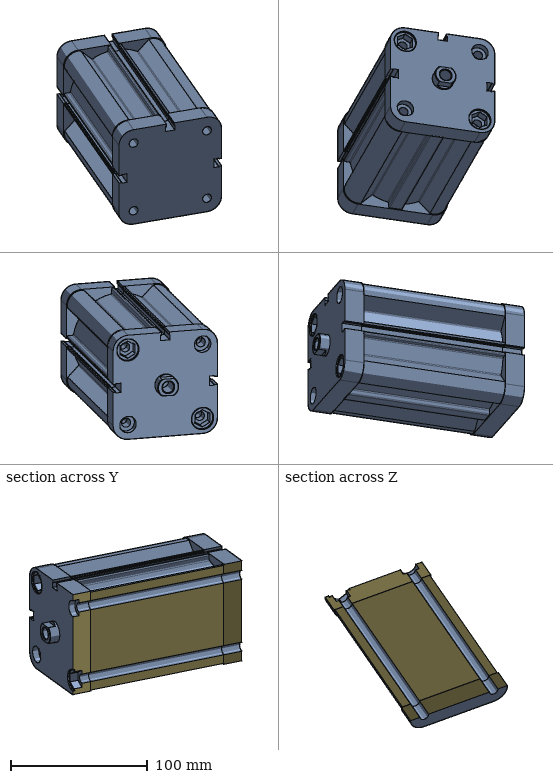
import cadquery as cq
import math


TOTAL_LENGTH = 148
CAP_WIDTH = 79.5
CAP_LENGTH = 15.0
ROD_REACH = 8.0
HOUSING_LENGTH = TOTAL_LENGTH - ROD_REACH
BARREL_LENGTH = HOUSING_LENGTH - 2 * CAP_LENGTH
BARREL_START = CAP_LENGTH
REAR_CAP_START = BARREL_START + BARREL_LENGTH

HOLE_OFFSET = 28.4
HOLE_DIAMETER = 6.8
COUNTERBORE_DIAMETER = 12.5
COUNTERBORE_DEPTH = 5.0
HEX_DIAMETER = 13.2
HEX_DEPTH = 7.4
RECESS_DIAMETER = 16.7
RECESS_DEPTH = 0.9
GROOVE_WIDTH = 0.3
GROOVE_DEPTH = 1.5
BOLT_CORNERS = [(HOLE_OFFSET, HOLE_OFFSET), (-HOLE_OFFSET, -HOLE_OFFSET)]
COUNTERBORE_CORNERS = [(HOLE_OFFSET, -HOLE_OFFSET), (-HOLE_OFFSET, HOLE_OFFSET)]

BARREL_STEP = 0.7
BARREL_WIDTH = CAP_WIDTH - 2 * BARREL_STEP
TUBE_RADIUS = 35.0
LUG_RADIUS = BARREL_WIDTH / 2 - HOLE_OFFSET
WEB_WIDTH = 17.6
RAIL_WIDTH = 10.7
BARREL_FILLET = 0.9

SLOT_DEPTH = 6.0
LIP_DEPTH = 2.2
SLOT_FLOOR = CAP_WIDTH / 2 - SLOT_DEPTH
LIP_UNDERSIDE = CAP_WIDTH / 2 - LIP_DEPTH
SLOT_WIDTH = 7.1
CAP_OPENING = 6.0
BARREL_OPENING = 5.2
LIP_CHAMFER = 0.6

ROD_DIAMETER = 16.0
ROD_CHAMFER = 0.5
ROD_LENGTH = ROD_REACH + CAP_LENGTH
FLAT_WIDTH = 12.7
FLAT_LENGTH = 5.9
FLAT_RUNOUT = 0.6
BORE_DIAMETER = 8.6
BORE_DEPTH = 14.8
BORE_CHAMFER = 0.6
DRILL_TIP_ANGLE = 118


def cross_section(x):
    """Workplane across the rod axis at X = x, drawn in Y and Z."""
    return cq.Workplane("YZ", origin=(x, 0, 0))


def cut_slotted_sides(body, cutter):
    """Make the top side's cut on the top and both Y sides; the bottom stays plain."""
    for angle in (-90, 0, 90):
        body = body.cut(cutter.rotate((0, 0, 0), (1, 0, 0), angle))
    return body


def slot_cutter(start, length, opening):
    """T-shaped slot along the top side."""
    floor_height = LIP_UNDERSIDE - SLOT_FLOOR
    wide_part = cross_section(start).center(0, SLOT_FLOOR + floor_height / 2)
    wide_part = wide_part.rect(SLOT_WIDTH, floor_height).extrude(length)
    neck = cross_section(start).center(0, SLOT_FLOOR + SLOT_DEPTH / 2)
    neck = neck.rect(opening, SLOT_DEPTH).extrude(length)
    return wide_part.union(neck)


def lip_chamfer_cutter(start, length):
    """V-shaped cut that bevels the outer edges of the barrel's slot opening."""
    top = BARREL_WIDTH / 2
    half_top = BARREL_OPENING / 2 + LIP_CHAMFER
    half_bottom = BARREL_OPENING / 2
    outline = [
        (-half_top, top),
        (half_top, top),
        (half_bottom, top - LIP_CHAMFER),
        (-half_bottom, top - LIP_CHAMFER),
    ]
    return cross_section(start).polyline(outline).close().extrude(length)


def bolt_holes(start, length):
    holes = cross_section(start).pushPoints(BOLT_CORNERS + COUNTERBORE_CORNERS)
    return holes.circle(HOLE_DIAMETER / 2).extrude(length)


def make_cap(start):
    """Square end cap with corners concentric with the bolt holes."""
    cap = cross_section(start).rect(CAP_WIDTH, CAP_WIDTH).extrude(CAP_LENGTH)
    cap = cap.edges("|X").fillet(CAP_WIDTH / 2 - HOLE_OFFSET)
    cap = cut_slotted_sides(cap, slot_cutter(start, CAP_LENGTH, CAP_OPENING))
    return cap.cut(bolt_holes(start, CAP_LENGTH))


def make_front_cap():
    cap = make_cap(0)

    counterbores = cross_section(0).pushPoints(COUNTERBORE_CORNERS)
    cap = cap.cut(counterbores.circle(COUNTERBORE_DIAMETER / 2).extrude(COUNTERBORE_DEPTH))

    recesses = cross_section(0).pushPoints(BOLT_CORNERS)
    cap = cap.cut(recesses.circle(RECESS_DIAMETER / 2).extrude(RECESS_DEPTH))
    groove = cross_section(0).circle(RECESS_DIAMETER / 2)
    groove = groove.circle(RECESS_DIAMETER / 2 - GROOVE_WIDTH).extrude(GROOVE_DEPTH)
    for y, z in BOLT_CORNERS:
        socket = cross_section(0).polygon(6, HEX_DIAMETER).extrude(HEX_DEPTH)
        socket = socket.rotate((0, 0, 0), (1, 0, 0), 90)
        cap = cap.cut(socket.union(groove).translate((0, y, z)))

    return cap.cut(cross_section(0).circle(ROD_DIAMETER / 2).extrude(CAP_LENGTH))


def make_barrel():
    start = BARREL_START
    length = BARREL_LENGTH

    barrel = cross_section(start).circle(TUBE_RADIUS).extrude(length)
    rail = cross_section(start).rect(BARREL_WIDTH, RAIL_WIDTH).extrude(length)
    rail = rail.edges("|X").fillet(BARREL_FILLET)
    for angle in (0, 90):
        barrel = barrel.union(rail.rotate((0, 0, 0), (1, 0, 0), angle))

    hole_distance = math.sqrt(2) * HOLE_OFFSET
    web = cross_section(start).rect(2 * hole_distance, WEB_WIDTH).extrude(length)
    web_ends = cross_section(start).pushPoints([(hole_distance, 0), (-hole_distance, 0)])
    web_ends = web_ends.circle(LUG_RADIUS).extrude(length)
    full_band = cross_section(start).rect(2 * BARREL_WIDTH, WEB_WIDTH).extrude(length)
    web_ends = web_ends.intersect(full_band)
    web = web.union(web_ends)
    for angle in (45, 135):
        barrel = barrel.union(web.rotate((0, 0, 0), (1, 0, 0), angle))

    tolerance = 0.01
    inner_corners = barrel.edges("|X").filter(
        lambda edge: abs(math.hypot(edge.Center().y, edge.Center().z) - TUBE_RADIUS) < tolerance
    )
    barrel = inner_corners.fillet(BARREL_FILLET)

    barrel = cut_slotted_sides(barrel, slot_cutter(start, length, BARREL_OPENING))
    barrel = cut_slotted_sides(barrel, lip_chamfer_cutter(start, length))
    return barrel.cut(bolt_holes(start, length))


def make_piston_rod():
    tip = -ROD_REACH
    rod = cross_section(tip).circle(ROD_DIAMETER / 2).extrude(ROD_LENGTH)
    rod = rod.faces("<X").chamfer(ROD_CHAMFER)

    flat_outline = [
        (tip, FLAT_WIDTH / 2),
        (tip + FLAT_LENGTH, FLAT_WIDTH / 2),
        (tip + FLAT_LENGTH + FLAT_RUNOUT, ROD_DIAMETER / 2),
        (tip, ROD_DIAMETER / 2),
    ]
    flat = cq.Workplane("XZ").polyline(flat_outline).close().extrude(ROD_DIAMETER / 2, both=True)
    rod = rod.cut(flat).cut(flat.mirror("XY"))

    bore_radius = BORE_DIAMETER / 2
    mouth_radius = bore_radius + BORE_CHAMFER
    cone_height = bore_radius / math.tan(math.radians(DRILL_TIP_ANGLE / 2))
    bore_outline = [
        (tip, 0),
        (tip, mouth_radius),
        (tip + BORE_CHAMFER, bore_radius),
        (tip + BORE_DEPTH, bore_radius),
        (tip + BORE_DEPTH + cone_height, 0),
    ]
    bore = cq.Workplane("XY").polyline(bore_outline).close()
    bore = bore.revolve(360, (0, 0, 0), (1, 0, 0))
    return rod.cut(bore)


front_cap = make_front_cap()
barrel = make_barrel()
rear_cap = make_cap(REAR_CAP_START)
piston_rod = make_piston_rod()

result = cq.Compound.makeCompound(
    [front_cap.val(), barrel.val(), rear_cap.val(), piston_rod.val()]
)